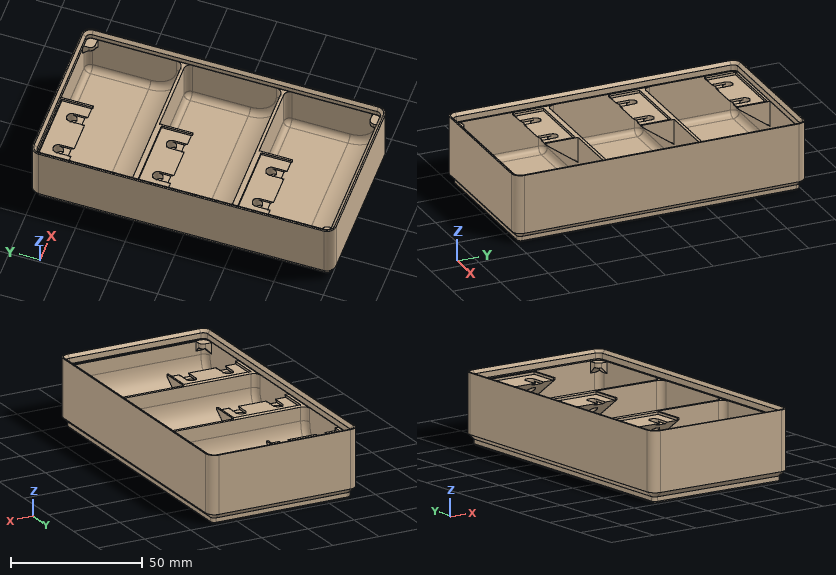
import cadquery as cq
import math

LENGTH_X = 64.5
LENGTH_Y = 122.5
HEIGHT = 29.0
CORNER_RADIUS = 3.75

FOOT_CHAMFER = 0.8
FOOT_STRAIGHT = 1.8
FOOT_FLARE = 2.15
FOOT_HEIGHT = FOOT_CHAMFER + FOOT_STRAIGHT + FOOT_FLARE

RIM_WIDTH = 0.62
LIP_INSET = 1.9
LIP_STRAIGHT = 2.3
LIP_SLOPE = LIP_INSET - RIM_WIDTH

WALL = 1.2
FRONT_WALL = LIP_INSET
DIVIDER = 1.2
COMPARTMENTS = 3
FLOOR_Z = 5.95
DECK_Z = 24.6
FLOOR_FILLET = CORNER_RADIUS - WALL
INNER_X = LENGTH_X - 2 * WALL
INNER_Y = LENGTH_Y - WALL - FRONT_WALL
COMPARTMENT_Y = (INNER_Y - (COMPARTMENTS - 1) * DIVIDER) / COMPARTMENTS
PITCH_Y = COMPARTMENT_Y + DIVIDER
SCOOP_RADIUS = 13.0

SHELF_DEPTH = 13.5
SHELF_TIP = 0.7
SHELF_ANGLE = 36.0
SHELF_END_X = 0.0
LABEL_DEPTH = 1.0
LABEL_WIDTH = 29.0
LABEL_SIDE_RIM = 0.7
LABEL_BACK_RIM = 1.0
SLOT_WIDTH = 4.0
SLOT_SPACING = 16.0
SLOT_DEPTH = 0.9
SLOT_SETBACK = 7.3

POST_SIZE = 5.8
POST_ROUND = 2.0
POST_THICKNESS = 2.0
POST_CORNERS = [(-1, -1), (1, -1), (1, 1)]


def rounded_block(inset, z_bottom, z_top, taper_inset=0.0):
    """Upright block with the outer plan inset; its top is inset further by taper_inset."""
    height = z_top - z_bottom
    taper = math.degrees(math.atan2(taper_inset, height))
    plan = cq.Sketch().rect(LENGTH_X - 2 * inset, LENGTH_Y - 2 * inset)
    plan = plan.vertices().fillet(CORNER_RADIUS - inset)
    return cq.Workplane("XY").workplane(offset=z_bottom).placeSketch(plan).extrude(height, taper=taper)


def make_body():
    """Outer block standing on its stepped foot."""
    straight_top = FOOT_CHAMFER + FOOT_STRAIGHT
    body = rounded_block(FOOT_FLARE + FOOT_CHAMFER, 0, FOOT_CHAMFER, -FOOT_CHAMFER)
    body = body.union(rounded_block(FOOT_FLARE, FOOT_CHAMFER, straight_top))
    body = body.union(rounded_block(FOOT_FLARE, straight_top, FOOT_HEIGHT, -FOOT_FLARE))
    return body.union(rounded_block(0, FOOT_HEIGHT, HEIGHT))


def make_lip_opening():
    """Open space above the deck, bounded by the stacking lip."""
    slope_bottom = HEIGHT - LIP_SLOPE
    straight_bottom = slope_bottom - LIP_STRAIGHT
    return_bottom = straight_bottom - (LIP_INSET - WALL)
    opening = rounded_block(LIP_INSET, straight_bottom, slope_bottom)
    opening = opening.union(rounded_block(LIP_INSET, slope_bottom, HEIGHT, -LIP_SLOPE))
    opening = opening.union(rounded_block(WALL, return_bottom, straight_bottom, LIP_INSET - WALL))
    return opening.union(rounded_block(WALL, DECK_Z, return_bottom))


def make_scoop(front_y):
    """Concave ramp rising from the floor to the front wall of a compartment."""
    end_y = front_y + SCOOP_RADIUS
    end_z = FLOOR_Z + SCOOP_RADIUS
    mid = SCOOP_RADIUS * (1 - math.sqrt(0.5))
    return (
        cq.Workplane("YZ", origin=(-INNER_X / 2, 0, 0))
        .moveTo(front_y, FLOOR_Z)
        .lineTo(end_y, FLOOR_Z)
        .threePointArc((front_y + mid, FLOOR_Z + mid), (front_y, end_z))
        .close()
        .extrude(INNER_X)
    )


def make_pocket(front_y):
    """Compartment space with the front scoop left solid and rounded corners and floor edges."""
    pocket = cq.Workplane("XY", origin=(0, front_y + COMPARTMENT_Y / 2, FLOOR_Z)).box(
        INNER_X, COMPARTMENT_Y, DECK_Z - FLOOR_Z, centered=(True, True, False)
    )
    pocket = pocket.cut(make_scoop(front_y))
    side_edges = pocket.faces("<X or >X").edges("not >Z")
    back_edge = pocket.faces("<Z").edges(">Y")
    return side_edges.add(back_edge).fillet(FLOOR_FILLET)


def make_keyhole(x, end_y, front_y, label_z):
    """Slot cutter running forward from a round hole that passes through the shelf."""
    length = end_y - front_y
    slot = cq.Workplane("XY", origin=(x, end_y - length / 2, label_z - SLOT_DEPTH)).box(
        SLOT_WIDTH, length, SLOT_DEPTH, centered=(True, True, False)
    )
    hole = cq.Workplane("XY", origin=(x, end_y, FLOOR_Z)).circle(SLOT_WIDTH / 2).extrude(label_z - FLOOR_Z)
    return slot.union(hole)


def make_shelf(back_y):
    """Label shelf with a sloping underside, an open-front label recess and two keyhole slots."""
    left_x = -INNER_X / 2
    tip_y = back_y - SHELF_DEPTH
    tip_z = DECK_Z - SHELF_TIP
    root_z = tip_z - SHELF_DEPTH * math.tan(math.radians(SHELF_ANGLE))
    shelf = (
        cq.Workplane("YZ", origin=(left_x, 0, 0))
        .polyline([(back_y, DECK_Z), (tip_y, DECK_Z), (tip_y, tip_z), (back_y, root_z)])
        .close()
        .extrude(SHELF_END_X - left_x)
    )
    label_z = DECK_Z - LABEL_DEPTH
    label_x = SHELF_END_X - LABEL_SIDE_RIM - LABEL_WIDTH / 2
    label_length = SHELF_DEPTH - LABEL_BACK_RIM
    recess = cq.Workplane("XY", origin=(label_x, tip_y + label_length / 2, label_z)).box(
        LABEL_WIDTH, label_length, LABEL_DEPTH, centered=(True, True, False)
    )
    shelf = shelf.cut(recess)
    for side in (-1, 1):
        slot_x = label_x + side * SLOT_SPACING / 2
        shelf = shelf.cut(make_keyhole(slot_x, back_y - SLOT_SETBACK, tip_y, label_z))
    return shelf


def make_post(side_x, side_y):
    """Flat corner plate carried by a 45 degree bracket along each of the two walls it meets."""
    low_x = LENGTH_X / 2 - POST_SIZE
    low_y = LENGTH_Y / 2 - POST_SIZE
    plate_z = DECK_Z - POST_THICKNESS
    bracket = POST_SIZE - POST_ROUND
    depth = POST_THICKNESS + bracket
    post = (
        cq.Workplane("XY", origin=(low_x, low_y, DECK_Z - depth))
        .box(POST_SIZE, POST_SIZE, depth, centered=False)
        .edges("|Z and <X and <Y")
        .fillet(POST_ROUND)
    )
    open_under = cq.Workplane("XY", origin=(low_x, low_y, plate_z)).rect(2 * POST_ROUND, 2 * POST_ROUND)
    open_under = open_under.workplane(offset=-bracket).rect(2 * POST_SIZE, 2 * POST_SIZE).loft(ruled=True)
    post = post.cut(open_under)
    if side_x < 0:
        post = post.mirror("YZ")
    if side_y < 0:
        post = post.mirror("XZ")
    return post.intersect(rounded_block(0, FOOT_HEIGHT, HEIGHT))


def build():
    """Box with its compartments, label shelves and corner posts."""
    part = make_body().cut(make_lip_opening())
    for index in range(COMPARTMENTS):
        front_y = FRONT_WALL - LENGTH_Y / 2 + index * PITCH_Y
        part = part.cut(make_pocket(front_y))
        part = part.union(make_shelf(front_y + COMPARTMENT_Y))
    for side_x, side_y in POST_CORNERS:
        part = part.union(make_post(side_x, side_y))
    return part


result = build()